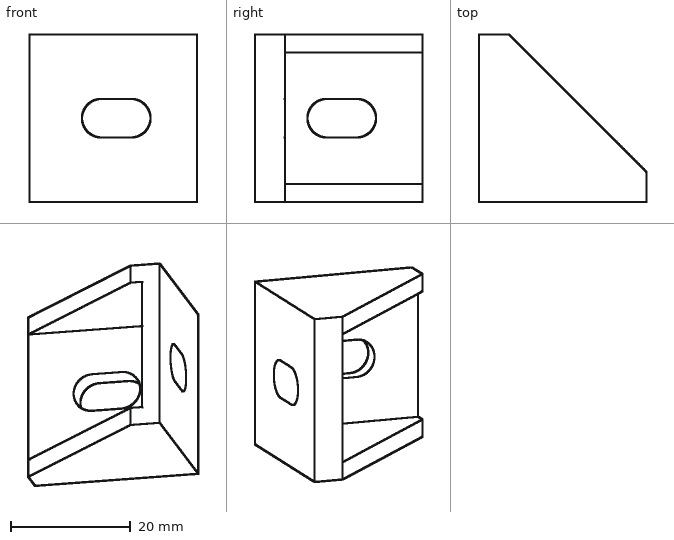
import cadquery as cq

size = 28.0
lip = 5.0
side_wall = 3.0
front_wall = 5.0
plate = 3.0
slot_length = 11.4
slot_width = 6.4
slot_offset = 14.5


def corner_block():
    """Square block with one vertical corner cut away by a sloping face."""
    outline = [(0, 0), (size, 0), (size, lip), (lip, size), (0, size)]
    return cq.Workplane("XY").polyline(outline).close().extrude(size)


def cavity():
    """Space between the walls and plates, open through the sloping face and the +Y end."""
    reach = size + lip
    corners = [
        (side_wall, front_wall),
        (reach - front_wall, front_wall),
        (side_wall, reach - side_wall),
    ]
    height = size - 2 * plate
    return cq.Workplane("XY", origin=(0, 0, plate)).polyline(corners).close().extrude(height)


def slot(plane, depth):
    """Horizontal slot at mid height, cut from an outer face through its wall."""
    return (
        cq.Workplane(plane)
        .center(slot_offset, size / 2)
        .slot2D(slot_length, slot_width)
        .extrude(depth)
    )


front_slot = slot("XZ", -front_wall)
side_slot = slot("YZ", side_wall)
result = corner_block().cut(cavity()).cut(front_slot).cut(side_slot)